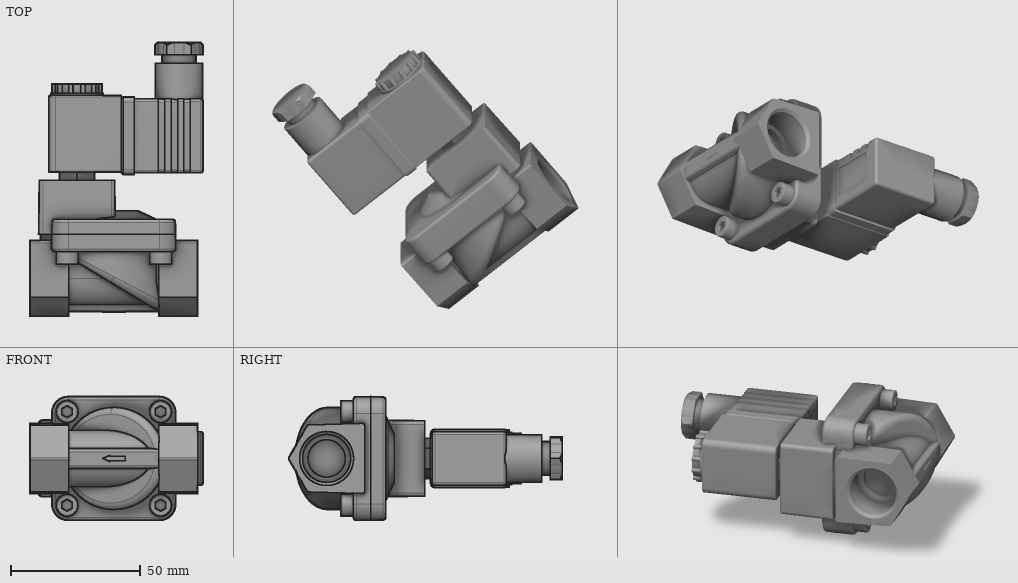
import cadquery as cq
import math


TOTAL_LENGTH_X = 67.1
TOTAL_LENGTH_Y = 106.06

PORT_SPAN = 65.0
PORT_LENGTH = 15.0
PORT_TOP_Y = 14.7
PORT_TOP_HALF_Z = 13.6
PORT_CORNER_HALF_Z = 12.95
PORT_SHARP_APEX_Y = -14.88
PORT_CORNER_Y = PORT_SHARP_APEX_Y + PORT_CORNER_HALF_Z * math.tan(math.radians(30))
PORT_TOP_FILLET = 0.9
PORT_APEX_FILLET = 0.85
PORT_APEX_Y = PORT_SHARP_APEX_Y + PORT_APEX_FILLET * (1 / math.cos(math.radians(30)) - 1)
THREAD_DIAMETER = 18.63
THREAD_MOUTH_DIAMETER = 20.9
THREAD_DEPTH = 13.0
SEAT_DIAMETER = 14.5
SEAT_DEPTH = 16.0

FLANGE_SIZE = 47.9
FLANGE_CORNER = 6.4
FLANGE_BOTTOM_Y = 10.3
FLANGE_FILLET = 1.2
SPLIT_Y = 17.0
BARREL_RADIUS = 11.0
BOWL_RADIUS = 19.8
BOWL_SLOPE = 31.0
BOWL_PLANE_X = -3.9
BOWL_FILLET = 2.6
RIB_BOTTOM_Y = -12.9
RIB_FOOT_Y = -11.0
RIB_FOOT_HALF_Z = 3.9
RIB_BOTTOM_HALF_Z = 3.4
RIB_FILLET = 1.0
LOBE_TIP_X = -28.5
LOBE_SHOULDER_X = -24.3
LOBE_HALF_Z = 12.7
LOBE_ROOT_HALF_Z = 15.8

ARROW_TIP_X = -4.3
ARROW_NECK_X = -1.5
ARROW_TAIL_X = 4.4
ARROW_HEAD_HALF_Z = 1.25
ARROW_SHAFT_HALF_Z = 0.85
ARROW_HEIGHT = 0.25

SCREW_SPACING = 36.2
SCREW_HEAD_DIAMETER = 8.5
SCREW_HEAD_HEIGHT = 4.9
SCREW_HEAD_FILLET = 0.4
SOCKET_FLATS = 4.0
SOCKET_DEPTH = 2.5

COVER_SIZE = 48.0
COVER_TOP_Y = 22.9
COVER_DRAFT = 1.5
COVER_FILLET = 1.2
DOME_TOP_Y = 26.25
DOME_BASE_RADIUS = 16.4
DOME_TOP_RADIUS = 9.2
PILOT_X = -14.25
PILOT_SIZE = 29.8
PILOT_TOP_Y = 38.05
PILOT_DRAFT = 0.7
PILOT_FILLET = 1.7
TUBE_NUT_FLATS = 13.6

COIL_BOTTOM_Y = 41.1
COIL_TOP_Y = 70.8
COIL_LEFT_X = -25.2
COIL_RIGHT_X = 2.9
COIL_WIDTH_Z = 22.4
COIL_CORNER = 2.6
COIL_EDGE_FILLET = 0.5
CAP_WASHER_RADIUS = 10.1
CAP_WASHER_TOP_Y = 71.7
CAP_CORE_RADIUS = 8.9
CAP_TOP_Y = 75.3
CAP_RIDGE_COUNT = 12
CAP_RIDGE_DIAMETER = 1.7
CAP_RIDGE_CENTRE_RADIUS = 9.2

COLLAR_RIGHT_X = 8.0
COLLAR_BOTTOM_Y = 40.2
COLLAR_TOP_Y = 70.3
COLLAR_WIDTH_Z = 22.7
COLLAR_CORNER = 2.0
COLLAR_CHAMFER = 0.7
PLUG_RIGHT_X = TOTAL_LENGTH_X - PORT_SPAN / 2
PLUG_BOTTOM_Y = 40.8
PLUG_TOP_Y = 69.6
PLUG_WIDTH_Z = 20.8
PLUG_FILLET = 1.1
GROOVE_COUNT = 3
GROOVE_FIRST_X = 17.25
GROOVE_PITCH = 4.95
GROOVE_WIDTH = 2.55
GROOVE_DEPTH = 0.35
GROOVE_BOTTOM_Z = 7.4
RECESS_LEFT_X = 10.0
RECESS_LENGTH = 18.7
RECESS_WIDTH_Z = 12.4
RECESS_CORNER = 1.0
GLAND_X = 25.25
GLAND_RADIUS = 9.25
GLAND_TOP_Y = 83.3
GLAND_NECK_RADIUS = 6.6
GLAND_NUT_BOTTOM_Y = 86.5
GLAND_NUT_TOP_Y = PORT_APEX_Y + TOTAL_LENGTH_Y
GLAND_NUT_FLATS = 16.2
GLAND_NUT_ROUND_RADIUS = 8.32
GLAND_NUT_CHAMFER = 1.0


def hex_corner_diameter(flats):
    return flats / math.cos(math.radians(30))


def plane_up(y, x=0.0, z=0.0):
    """Workplane facing +Y; its local x is Z and its local y is X."""
    return cq.Workplane("ZX", origin=(x, y, z))


def cylinder_up(radius, y_bottom, y_top, x=0.0, z=0.0):
    return plane_up(y_bottom, x, z).circle(radius).extrude(y_top - y_bottom)


def box_between(x_left, x_right, y_bottom, y_top, z_bottom, z_top):
    size = (x_right - x_left, y_top - y_bottom, z_top - z_bottom)
    return cq.Workplane("XY", origin=(x_left, y_bottom, z_bottom)).box(*size, centered=False)



def port_block(x_left):
    """Pointed half-hexagon block with slightly tapering sides."""
    return (
        cq.Workplane("YZ", origin=(x_left, 0, 0))
        .moveTo(PORT_TOP_Y, -PORT_TOP_HALF_Z)
        .lineTo(PORT_TOP_Y, PORT_TOP_HALF_Z)
        .lineTo(PORT_CORNER_Y, PORT_CORNER_HALF_Z)
        .lineTo(PORT_SHARP_APEX_Y, 0)
        .lineTo(PORT_CORNER_Y, -PORT_CORNER_HALF_Z)
        .close()
        .extrude(PORT_LENGTH)
        .edges("|X and >Y").fillet(PORT_TOP_FILLET)
        .edges("|X and <Y").fillet(PORT_APEX_FILLET)
    )


def port_bore():
    """Chamfered thread bore and seat hole of the port on the -X side, as a cutting tool."""
    mouth_x = -PORT_SPAN / 2
    chamfer = (THREAD_MOUTH_DIAMETER - THREAD_DIAMETER) / 2
    return (
        cq.Workplane("XY")
        .moveTo(mouth_x, 0)
        .lineTo(mouth_x, THREAD_MOUTH_DIAMETER / 2)
        .lineTo(mouth_x + chamfer, THREAD_DIAMETER / 2)
        .lineTo(mouth_x + THREAD_DEPTH, THREAD_DIAMETER / 2)
        .lineTo(mouth_x + THREAD_DEPTH, SEAT_DIAMETER / 2)
        .lineTo(mouth_x + SEAT_DEPTH, SEAT_DIAMETER / 2)
        .lineTo(mouth_x + SEAT_DEPTH, 0)
        .close()
        .revolve(360, (0, 0, 0), (1, 0, 0))
    )


def body_flange():
    return (
        plane_up(FLANGE_BOTTOM_Y)
        .rect(FLANGE_SIZE, FLANGE_SIZE)
        .extrude(SPLIT_Y - FLANGE_BOTTOM_Y)
        .edges("|Y").fillet(FLANGE_CORNER)
        .faces("<Y").edges().fillet(FLANGE_FILLET)
    )


def bowl():
    """Round chamber under the flange, cut off by a plane that falls towards +X."""
    slope = math.tan(math.radians(BOWL_SLOPE))
    reach = BOWL_RADIUS + 1
    left_y = -slope * (-reach - BOWL_PLANE_X)
    right_y = -slope * (reach - BOWL_PLANE_X)
    below_plane = (
        cq.Workplane("XY")
        .polyline([(-reach, left_y), (reach, right_y), (-reach, right_y)])
        .close()
        .extrude(reach, both=True)
    )
    chamber = cylinder_up(BOWL_RADIUS, right_y, SPLIT_Y).cut(below_plane)
    return chamber.faces("<Y").edges().fillet(BOWL_FILLET)


def barrel():
    """U-shaped flow channel between the two ports."""
    return (
        cq.Workplane("YZ", origin=(-PORT_SPAN / 2 + PORT_LENGTH, 0, 0))
        .moveTo(FLANGE_BOTTOM_Y, BARREL_RADIUS)
        .lineTo(0, BARREL_RADIUS)
        .threePointArc((-BARREL_RADIUS, 0), (0, -BARREL_RADIUS))
        .lineTo(FLANGE_BOTTOM_Y, -BARREL_RADIUS)
        .close()
        .extrude(PORT_SPAN - 2 * PORT_LENGTH)
    )


def rib():
    return (
        cq.Workplane("YZ", origin=(-PORT_SPAN / 2 + PORT_LENGTH, 0, 0))
        .moveTo(0, -RIB_FOOT_HALF_Z)
        .lineTo(RIB_FOOT_Y, -RIB_FOOT_HALF_Z)
        .lineTo(RIB_BOTTOM_Y, -RIB_BOTTOM_HALF_Z)
        .lineTo(RIB_BOTTOM_Y, RIB_BOTTOM_HALF_Z)
        .lineTo(RIB_FOOT_Y, RIB_FOOT_HALF_Z)
        .lineTo(0, RIB_FOOT_HALF_Z)
        .close()
        .extrude(PORT_SPAN - 2 * PORT_LENGTH)
        .faces("<Y").edges("|X").fillet(RIB_FILLET)
    )


def flow_arrow():
    return (
        cq.Workplane("XZ", origin=(0, RIB_BOTTOM_Y, 0))
        .moveTo(ARROW_TIP_X, 0)
        .lineTo(ARROW_NECK_X, ARROW_HEAD_HALF_Z)
        .lineTo(ARROW_NECK_X, ARROW_SHAFT_HALF_Z)
        .lineTo(ARROW_TAIL_X, ARROW_SHAFT_HALF_Z)
        .lineTo(ARROW_TAIL_X, -ARROW_SHAFT_HALF_Z)
        .lineTo(ARROW_NECK_X, -ARROW_SHAFT_HALF_Z)
        .lineTo(ARROW_NECK_X, -ARROW_HEAD_HALF_Z)
        .close()
        .extrude(ARROW_HEIGHT)
    )


def pilot_lobe():
    """Rounded extension of the flange that carries the pilot block."""
    lobe_bottom_y = FLANGE_BOTTOM_Y + FLANGE_FILLET
    return (
        plane_up(lobe_bottom_y)
        .moveTo(LOBE_ROOT_HALF_Z, 0)
        .lineTo(LOBE_ROOT_HALF_Z, -FLANGE_SIZE / 2)
        .lineTo(LOBE_HALF_Z, LOBE_SHOULDER_X)
        .threePointArc((0, LOBE_TIP_X), (-LOBE_HALF_Z, LOBE_SHOULDER_X))
        .lineTo(-LOBE_ROOT_HALF_Z, -FLANGE_SIZE / 2)
        .lineTo(-LOBE_ROOT_HALF_Z, 0)
        .close()
        .extrude(SPLIT_Y - lobe_bottom_y)
    )


def screw_heads():
    """Four socket-head screws under the flange corners."""
    head_y = FLANGE_BOTTOM_Y - SCREW_HEAD_HEIGHT
    head = (
        cylinder_up(SCREW_HEAD_DIAMETER / 2, head_y, SPLIT_Y)
        .faces("<Y").edges().fillet(SCREW_HEAD_FILLET)
    )
    socket = (
        plane_up(head_y)
        .polygon(6, hex_corner_diameter(SOCKET_FLATS))
        .extrude(SOCKET_DEPTH)
    )
    screw = head.cut(socket).val()
    half = SCREW_SPACING / 2
    corners = [(x, z) for x in (-half, half) for z in (-half, half)]
    return [screw.translate(cq.Vector(x, 0, z)) for x, z in corners]


def cover():
    plate = (
        plane_up(SPLIT_Y)
        .sketch().rect(COVER_SIZE, COVER_SIZE).vertices().fillet(FLANGE_CORNER).finalize()
        .extrude(COVER_TOP_Y - SPLIT_Y, taper=COVER_DRAFT)
        .faces(">Y").edges().fillet(COVER_FILLET)
    )
    dome = (
        plane_up(COVER_TOP_Y)
        .circle(DOME_BASE_RADIUS)
        .workplane(offset=DOME_TOP_Y - COVER_TOP_Y)
        .circle(DOME_TOP_RADIUS)
        .loft(ruled=True)
    )
    return plate.union(dome)


def pilot_block():
    block = (
        plane_up(SPLIT_Y, PILOT_X)
        .sketch().rect(PILOT_SIZE, PILOT_SIZE).vertices().fillet(PILOT_FILLET).finalize()
        .extrude(PILOT_TOP_Y - SPLIT_Y, taper=PILOT_DRAFT)
    )
    nut = (
        plane_up(PILOT_TOP_Y, PILOT_X)
        .polygon(6, hex_corner_diameter(TUBE_NUT_FLATS))
        .extrude(COIL_BOTTOM_Y - PILOT_TOP_Y)
    )
    return block.union(nut)


def make_valve():
    left_bore = port_bore()
    valve = body_flange().union(bowl()).union(barrel()).union(rib()).union(flow_arrow())
    valve = valve.union(pilot_lobe())
    for x_left in (-PORT_SPAN / 2, PORT_SPAN / 2 - PORT_LENGTH):
        valve = valve.union(port_block(x_left))
    valve = valve.cut(left_bore).cut(left_bore.mirror("YZ"))
    for screw in screw_heads():
        valve = valve.union(cq.Workplane(screw))
    return valve.union(cover()).union(pilot_block())



def make_coil():
    half_z = COIL_WIDTH_Z / 2
    block = (
        box_between(COIL_LEFT_X, COIL_RIGHT_X, COIL_BOTTOM_Y, COIL_TOP_Y, -half_z, half_z)
        .edges("|Y and <X").fillet(COIL_CORNER)
        .faces("<Y or >Y").edges("not >X").fillet(COIL_EDGE_FILLET)
    )
    washer = cylinder_up(CAP_WASHER_RADIUS, COIL_TOP_Y, CAP_WASHER_TOP_Y, PILOT_X)
    cap = cylinder_up(CAP_CORE_RADIUS, CAP_WASHER_TOP_Y, CAP_TOP_Y, PILOT_X)
    half_step = 180 / CAP_RIDGE_COUNT
    ridges = (
        plane_up(CAP_WASHER_TOP_Y, PILOT_X)
        .polarArray(CAP_RIDGE_CENTRE_RADIUS, half_step, 360, CAP_RIDGE_COUNT)
        .circle(CAP_RIDGE_DIAMETER / 2)
        .extrude(CAP_TOP_Y - CAP_WASHER_TOP_Y)
    )
    return block.union(washer).union(cap).union(ridges)



def collar():
    half_z = COLLAR_WIDTH_Z / 2
    return (
        box_between(COIL_RIGHT_X, COLLAR_RIGHT_X, COLLAR_BOTTOM_Y, COLLAR_TOP_Y, -half_z, half_z)
        .edges("|X").fillet(COLLAR_CORNER)
        .faces("<X").edges().chamfer(COLLAR_CHAMFER)
    )


def plug_housing(inset=0.0):
    """Plug housing, with its Y and Z sides moved inwards by the inset."""
    half_z = PLUG_WIDTH_Z / 2 - inset
    bottom_y = PLUG_BOTTOM_Y + inset
    top_y = PLUG_TOP_Y - inset
    return (
        box_between(COIL_RIGHT_X + COLLAR_CHAMFER, PLUG_RIGHT_X, bottom_y, top_y, -half_z, half_z)
        .edges("|X").fillet(PLUG_FILLET)
        .faces(">X").edges().fillet(PLUG_FILLET)
    )


def grip_grooves():
    """Shallow grooves across the +Z side that wrap a little way down both flanks."""
    core = plug_housing(GROOVE_DEPTH)
    slabs = cq.Workplane()
    for index in range(GROOVE_COUNT):
        x_left = GROOVE_FIRST_X + index * GROOVE_PITCH
        slab = box_between(
            x_left, x_left + GROOVE_WIDTH, PLUG_BOTTOM_Y, PLUG_TOP_Y, GROOVE_BOTTOM_Z, PLUG_WIDTH_Z / 2
        )
        slabs = slabs.add(slab.cut(core))
    return slabs


def bottom_recess():
    return (
        plane_up(PLUG_BOTTOM_Y, RECESS_LEFT_X + RECESS_LENGTH / 2)
        .rect(RECESS_WIDTH_Z, RECESS_LENGTH)
        .extrude(GROOVE_DEPTH)
        .edges("|Y").fillet(RECESS_CORNER)
    )


def gland_nut():
    """Hexagon with bulging flats and chamfered outer corners."""
    height = GLAND_NUT_TOP_Y - GLAND_NUT_BOTTOM_Y
    corner_diameter = hex_corner_diameter(GLAND_NUT_FLATS)
    hexagon = (
        plane_up(GLAND_NUT_BOTTOM_Y, GLAND_X)
        .transformed(rotate=(0, 0, 30))
        .polygon(6, corner_diameter)
        .extrude(height)
    )
    envelope = (
        cylinder_up(corner_diameter / 2, GLAND_NUT_BOTTOM_Y, GLAND_NUT_TOP_Y, GLAND_X)
        .faces(">Y").edges().chamfer(GLAND_NUT_CHAMFER)
    )
    core = cylinder_up(GLAND_NUT_ROUND_RADIUS, GLAND_NUT_BOTTOM_Y, GLAND_NUT_TOP_Y, GLAND_X)
    return hexagon.intersect(envelope).union(core)


def make_plug():
    plug = collar().union(plug_housing())
    for groove in grip_grooves().vals():
        plug = plug.cut(cq.Workplane(groove))
    plug = plug.cut(bottom_recess())
    sleeve = cylinder_up(GLAND_RADIUS, PLUG_TOP_Y - PLUG_FILLET, GLAND_TOP_Y, GLAND_X)
    neck = cylinder_up(GLAND_NECK_RADIUS, GLAND_TOP_Y, GLAND_NUT_BOTTOM_Y, GLAND_X)
    return plug.union(sleeve).union(neck).union(gland_nut())


valve = make_valve()
coil = make_coil()
plug = make_plug()

result = cq.Compound.makeCompound([*valve.solids().vals(), *coil.solids().vals(), *plug.solids().vals()])